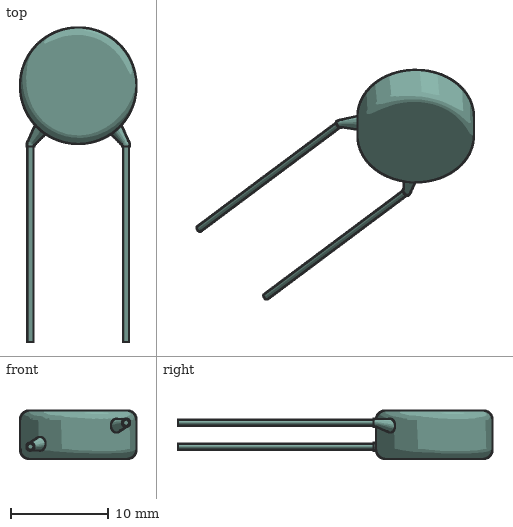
import cadquery as cq
import math


overall_length = 32.33
housing_diameter = 12.0
housing_height = 5.0
rim_fillet = 1.0

lead_diameter = 0.65
lead_offset_x = 4.9
lead_offset_z = 1.23
lead_turns = (0, 180)
lead_tip_y = housing_diameter / 2 - overall_length

sleeve_mouth_y = -6.25
sleeve_mouth_radius = 0.42
cone_length = 2.1
cone_half_angle = 10.5
elbow_bend_radius = 0.75
elbow_angle = 35.5
elbow_roll = 15.5

cone_root_radius = sleeve_mouth_radius + cone_length * math.tan(math.radians(cone_half_angle))
lead_straight_length = sleeve_mouth_y - lead_tip_y

bend_radians = math.radians(elbow_angle)
elbow_end = cq.Vector(
    elbow_bend_radius * (1 - math.cos(bend_radians)),
    elbow_bend_radius * math.sin(bend_radians),
    0,
)
cone_direction = cq.Vector(math.sin(bend_radians), math.cos(bend_radians), 0)


def make_elbow(radius):
    """Round bar bent from the sleeve mouth to the start of the cone."""
    mouth = cq.Workplane("XZ").circle(radius)
    return mouth.revolve(elbow_angle, (elbow_bend_radius, 0), (elbow_bend_radius, -1))


def make_sleeve():
    """Elbow and cone that widens from it into the housing."""
    cone = cq.Solid.makeCone(sleeve_mouth_radius, cone_root_radius, cone_length, elbow_end, cone_direction)
    return make_elbow(sleeve_mouth_radius).union(cq.Workplane(cone))


def make_lead():
    """Straight wire that bends with its sleeve and ends at the root of the cone."""
    radius = lead_diameter / 2
    straight = cq.Workplane("XZ").circle(radius).extrude(lead_straight_length)
    buried_end = cq.Solid.makeCylinder(radius, cone_length, elbow_end, cone_direction)
    return straight.union(make_elbow(radius)).union(cq.Workplane(buried_end))


def place(part, turn):
    """Move a sleeve or lead to the low -X corner of the housing, then turn it about the Y axis."""
    rolled = part.rotate((0, 0, 0), (0, 1, 0), -elbow_roll)
    moved = rolled.translate((-lead_offset_x, sleeve_mouth_y, -lead_offset_z))
    return moved.rotate((0, 0, 0), (0, 1, 0), turn)


def make_housing(leads):
    """Rounded disc with two sleeves, bored to fit the leads."""
    bottom = cq.Workplane("XY").workplane(offset=-housing_height / 2)
    disc = bottom.circle(housing_diameter / 2).extrude(housing_height)
    housing = disc.edges("%CIRCLE").fillet(rim_fillet)
    for turn in lead_turns:
        housing = housing.union(place(make_sleeve(), turn))
    for lead in leads:
        housing = housing.cut(lead)
    return housing


leads = [place(make_lead(), turn) for turn in lead_turns]
housing = make_housing(leads)

result = cq.Compound.makeCompound([housing.solids().val(), *[lead.solids().val() for lead in leads]])